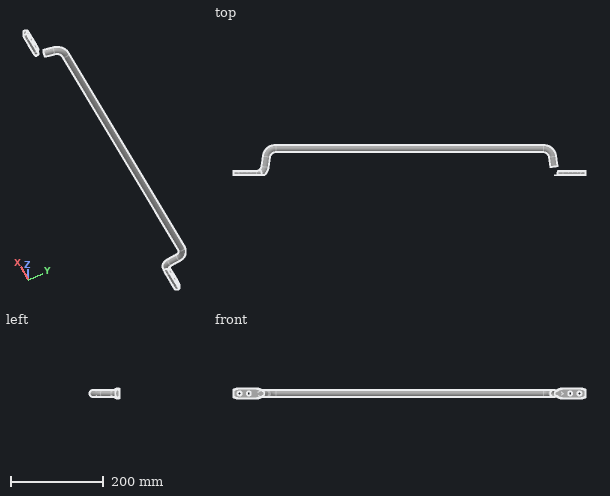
import cadquery as cq
import math

length = 760.0
depth = 65.0

rod_diameter = 16.0
rod_radius = rod_diameter / 2
bend_radius = 20.0
leg_tilt = math.radians(8)
bar_half_length = 289.0

plate_thickness = 9.0
plate_height = 23.0
face_height = 20.0
outline_radius = 20.0
end_round_length = 11.5
shoulder_start = 49.5
hole_diameter = 8.0
hole_inset = 14.0
hole_spacing = 20.0

half_length = length / 2
bar_y = depth - rod_radius
foot_y = plate_thickness - rod_radius

envelope = cq.Workplane("XY").box(length, depth, plate_height, centered=(True, False, True))


def rod_half():
    """Left half of the bent rod: bar, upper bend, leg and lower bend, cut flat at y = 0."""
    run = math.cos(leg_tilt) * bend_radius
    drop = (1 - math.sin(leg_tilt)) * bend_radius
    mid_angle = (math.pi / 2 - leg_tilt) / 2
    mid_run = math.sin(mid_angle) * bend_radius
    mid_drop = (1 - math.cos(mid_angle)) * bend_radius

    leg_top = (-bar_half_length - run, bar_y - drop)
    leg_bottom_y = foot_y + drop
    leg_bottom_x = leg_top[0] - (leg_top[1] - leg_bottom_y) * math.tan(leg_tilt)
    foot_x = leg_bottom_x - run

    path = (
        cq.Workplane("XY")
        .moveTo(0, bar_y)
        .lineTo(-bar_half_length, bar_y)
        .threePointArc((-bar_half_length - mid_run, bar_y - mid_drop), leg_top)
        .lineTo(leg_bottom_x, leg_bottom_y)
        .threePointArc((foot_x + mid_run, foot_y + mid_drop), (foot_x, foot_y))
    )
    rod = cq.Workplane("YZ").center(bar_y, 0).circle(rod_radius).sweep(path)
    return rod.intersect(envelope)


def rim_section(center_z):
    """Half cross-section of the slot, from its centre line out to the bulged rim."""
    bulge = (plate_height - face_height) / 2
    return (
        cq.Workplane("YZ", origin=(-half_length + end_round_length, 0, center_z))
        .lineTo(0, outline_radius)
        .threePointArc((plate_thickness / 2, outline_radius + bulge), (plate_thickness, outline_radius))
        .lineTo(plate_thickness, 0)
        .close()
    )


def bulged_slot(center_z):
    """Slot-shaped slab whose rim bulges outward at half thickness."""
    straight_length = shoulder_start - end_round_length
    round_end = rim_section(center_z).revolve(360, (0, 0, 0), (1, 0, 0))
    upper_straight = rim_section(center_z).extrude(straight_length)
    lower_straight = upper_straight.mirror("XY", (0, 0, center_z))
    return (
        upper_straight.union(lower_straight)
        .union(round_end)
        .union(round_end.translate((straight_length, 0, 0)))
    )


def mounting_plate():
    """Left plate: bulged long sides, rounded end corners, pointed nose and two holes."""
    slot_offset = outline_radius - face_height / 2
    plate = bulged_slot(slot_offset).intersect(bulged_slot(-slot_offset))
    holes = (
        cq.Workplane("XZ", origin=(-half_length, 0, 0))
        .pushPoints([(hole_inset, 0), (hole_inset + hole_spacing, 0)])
        .circle(hole_diameter / 2)
        .extrude(-plate_thickness)
    )
    return plate.intersect(envelope).cut(holes)


left_half = rod_half().union(mounting_plate())
result = left_half.union(left_half.mirror("YZ"))